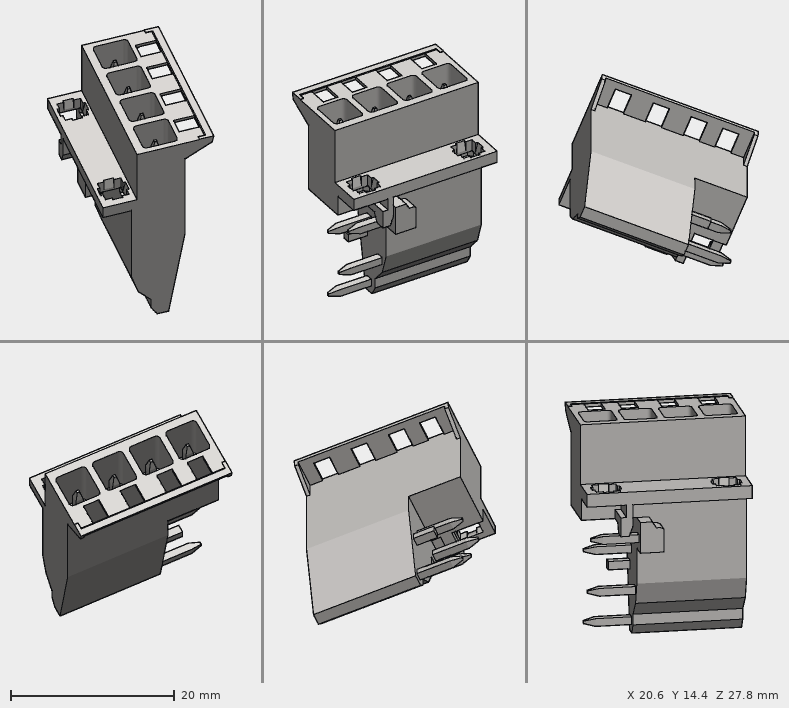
import cadquery as cq


WIDTH = 20.6
TOP_Z = 27.67
RIM_Z = 27.75
BODY_FRONT_Y = 4.4
BACK_Y = 10.63
LIP_BACK_Y = 14.37
LIP_BACK_Z = 27.72
LIP_EDGE_Y = 14.18
LIP_EDGE_Z = 26.78
LIP_ROOT_Z = 24.98
LIP_PLATE = 0.42
FLANGE_TOP_Z = 20.05
FLANGE_BOTTOM_Z = 18.43
LOWER_FRONT_Y = 3.72
BODY_BOTTOM_Z = 15.68

BLOCK_LEFT_X = 6.9
BACK_TAPER_Z = 12.32
TOE_BACK_Y = 8.52
TOE_FRONT_Y = 7.02
TOE_CHAMFER_Z = 1.28
STEP_Y = 6.25
STEP_Z = 2.65
KNEE_Y = 4.58
KNEE_Z = 4.5
FRONT_TAPER_Z = 7.22

CONTACT_COUNT = 4
CONTACT_PITCH = 5.0
CONTACT_Y = 7.77
FIRST_CONTACT_X = (WIDTH - (CONTACT_COUNT - 1) * CONTACT_PITCH) / 2
CONTACT_XS = [FIRST_CONTACT_X + i * CONTACT_PITCH for i in range(CONTACT_COUNT)]
CAVITY_X = 4.13
CAVITY_Y = 4.5
CAVITY_RADIUS = 0.5
CAVITY_FLOOR_Z = FLANGE_TOP_Z

RIM_SIDE_WIDTH = 0.5
RIM_FRONT_Y = 12.52
RIM_INNER_TOP_Y = 13.5
RIM_INNER_FOOT_Y = 13.32
WINDOW_WIDTH = 2.1
WINDOW_OFFSET = 0.42

HOLE_SIZE = 3.02
HOLE_Y = 2.3
NOTCH_WIDTH = 1.28
NOTCH_DEPTH = 0.3
NOTCH_HEIGHT = 1.3
RELIEF_WIDTH = 3.4
RELIEF_DEPTH = 0.55
RELIEF_FLOOR_Z = 17.62

HOOK_LEFT_X = 4.2
HOOK_NECK_X = 4.9
HOOK_RIGHT_X = 5.7
HOOK_TOE_X = 5.25
HOOK_SHELF_Z = 16.85
HOOK_CHAMFER_Z = 15.62
HOOK_BOTTOM_Z = 14.43
HOOK_HEEL_Y = 2.03
HOOK_TOE_Y = 1.42

BOSS_FRONT_Y = 1.47
BOSS_BOTTOM_Z = 11.77
BOSS_RIGHT_X = 9.85
BOSS_TOP_RIGHT_X = 8.44
BOSS_VALLEY_X = 8.9
BOSS_VALLEY_Z = 14.9
BOSS_ARC_START_X = 9.35
BOSS_ARC_MID_X = 9.63
BOSS_ARC_MID_Z = 14.82
BOSS_SHOULDER_Z = 14.68

PEG_SIZE = 1.08
PEG_Y = 8.63
PEG_Z = 8.44

PIN_SIZE = 1.0
PIN_TIP_SIZE = 0.33
PIN_TAPER = 1.45
CONTACT_TIP_Z = 26.45
TAIL_TIP_X = 1.0
TAIL_YZ = [(2.89, 13.38), (7.65, 10.7), (5.1, 6.13), (7.65, 1.55)]


def box(x0, x1, y0, y1, z0, z1):
    return cq.Workplane("XY").box(x1 - x0, y1 - y0, z1 - z0, centered=False).translate((x0, y0, z0))


def side_profile(points, x0, x1):
    """Extrude a (y, z) outline from x0 to x1."""
    return cq.Workplane("YZ", origin=(x0, 0, 0)).polyline(points).close().extrude(x1 - x0)


def make_upper_body():
    outline = [
        (BODY_FRONT_Y, TOP_Z),
        (BODY_FRONT_Y, FLANGE_TOP_Z),
        (0, FLANGE_TOP_Z),
        (0, FLANGE_BOTTOM_Z),
        (LOWER_FRONT_Y, FLANGE_BOTTOM_Z),
        (LOWER_FRONT_Y, BODY_BOTTOM_Z),
        (BACK_Y, BODY_BOTTOM_Z),
        (BACK_Y, LIP_ROOT_Z),
        (LIP_EDGE_Y, LIP_EDGE_Z),
        (LIP_BACK_Y, LIP_BACK_Z),
        (RIM_FRONT_Y, RIM_Z),
        (RIM_FRONT_Y, TOP_Z),
    ]
    return side_profile(outline, 0, WIDTH)


def make_rim_recess():
    """Sunk area between the two side strips of the rim, with a sloped back wall."""
    outline = [
        (RIM_FRONT_Y, TOP_Z),
        (RIM_INNER_FOOT_Y, TOP_Z),
        (RIM_INNER_TOP_Y, RIM_Z),
        (RIM_FRONT_Y, RIM_Z),
    ]
    return side_profile(outline, RIM_SIDE_WIDTH, WIDTH - RIM_SIDE_WIDTH)


def make_lip_hollow():
    """Space under the lip plate, between a thin gusset at each end."""
    return box(
        RIM_SIDE_WIDTH, WIDTH - RIM_SIDE_WIDTH, BACK_Y, LIP_BACK_Y, LIP_ROOT_Z, TOP_Z - LIP_PLATE
    )


def make_lower_block():
    outline = [
        (LOWER_FRONT_Y, BODY_BOTTOM_Z),
        (LOWER_FRONT_Y, FRONT_TAPER_Z),
        (KNEE_Y, KNEE_Z),
        (STEP_Y, STEP_Z),
        (STEP_Y, TOE_CHAMFER_Z),
        (TOE_FRONT_Y, 0),
        (TOE_BACK_Y, 0),
        (BACK_Y, BACK_TAPER_Z),
        (BACK_Y, BODY_BOTTOM_Z),
    ]
    return side_profile(outline, BLOCK_LEFT_X, WIDTH)


def make_hook():
    front_outline = [
        (HOOK_NECK_X, FLANGE_BOTTOM_Z),
        (HOOK_NECK_X, HOOK_SHELF_Z),
        (HOOK_LEFT_X, HOOK_SHELF_Z),
        (HOOK_LEFT_X, HOOK_BOTTOM_Z),
        (HOOK_TOE_X, HOOK_BOTTOM_Z),
        (HOOK_RIGHT_X, HOOK_CHAMFER_Z),
        (HOOK_RIGHT_X, FLANGE_BOTTOM_Z),
    ]
    side_outline = [
        (0, FLANGE_BOTTOM_Z),
        (0, HOOK_BOTTOM_Z),
        (HOOK_TOE_Y, HOOK_BOTTOM_Z),
        (HOOK_HEEL_Y, BODY_BOTTOM_Z),
        (LOWER_FRONT_Y, BODY_BOTTOM_Z),
        (LOWER_FRONT_Y, FLANGE_BOTTOM_Z),
    ]
    hook = cq.Workplane("XZ").polyline(front_outline).close().extrude(-LOWER_FRONT_Y)
    return hook.intersect(side_profile(side_outline, HOOK_LEFT_X, HOOK_RIGHT_X))


def make_boss():
    return (
        cq.Workplane("XZ", origin=(0, BOSS_FRONT_Y, 0))
        .moveTo(BLOCK_LEFT_X, BOSS_BOTTOM_Z)
        .lineTo(BLOCK_LEFT_X, BODY_BOTTOM_Z)
        .lineTo(BOSS_TOP_RIGHT_X, BODY_BOTTOM_Z)
        .lineTo(BOSS_VALLEY_X, BOSS_VALLEY_Z)
        .lineTo(BOSS_ARC_START_X, BOSS_VALLEY_Z)
        .threePointArc((BOSS_ARC_MID_X, BOSS_ARC_MID_Z), (BOSS_RIGHT_X, BOSS_SHOULDER_Z))
        .lineTo(BOSS_RIGHT_X, BOSS_BOTTOM_Z)
        .close()
        .extrude(BOSS_FRONT_Y - LOWER_FRONT_Y)
    )


def make_peg():
    half = PEG_SIZE / 2
    return box(HOOK_LEFT_X, BLOCK_LEFT_X, PEG_Y - half, PEG_Y + half, PEG_Z - half, PEG_Z + half)


def make_cavity(x):
    cavity = cq.Workplane("XY").box(CAVITY_X, CAVITY_Y, TOP_Z - CAVITY_FLOOR_Z, centered=(True, True, False))
    return cavity.edges("|Z").fillet(CAVITY_RADIUS).translate((x, CONTACT_Y, CAVITY_FLOOR_Z))


def make_window(contact_x):
    toward_middle = contact_x == CONTACT_XS[0]
    x = contact_x + (WINDOW_OFFSET if toward_middle else -WINDOW_OFFSET)
    half = WINDOW_WIDTH / 2
    return box(x - half, x + half, BACK_Y, RIM_INNER_FOOT_Y, TOP_Z - LIP_PLATE, TOP_Z)


def make_screw_hole(x):
    """Square flange hole with a wedge-shaped notch in the middle of each side."""
    half = HOLE_SIZE / 2
    hole = box(-half, half, -half, half, FLANGE_BOTTOM_Z, FLANGE_TOP_Z)
    wedge = side_profile(
        [
            (half, FLANGE_TOP_Z - NOTCH_HEIGHT),
            (half + NOTCH_DEPTH, FLANGE_TOP_Z),
            (0, FLANGE_TOP_Z),
            (0, FLANGE_TOP_Z - NOTCH_HEIGHT),
        ],
        -NOTCH_WIDTH / 2,
        NOTCH_WIDTH / 2,
    )
    for quarter in range(4):
        hole = hole.union(wedge.rotate((0, 0, 0), (0, 0, 1), 90 * quarter))
    return hole.translate((x, HOLE_Y, 0))


def make_screw_relief(x):
    """Recess with 45 degree ends in the front face, just below a screw hole."""
    half = RELIEF_WIDTH / 2
    outline = [
        (x - half, LOWER_FRONT_Y),
        (x + half, LOWER_FRONT_Y),
        (x + half - RELIEF_DEPTH, LOWER_FRONT_Y + RELIEF_DEPTH),
        (x - half + RELIEF_DEPTH, LOWER_FRONT_Y + RELIEF_DEPTH),
    ]
    relief = cq.Workplane("XY", origin=(0, 0, RELIEF_FLOOR_Z)).polyline(outline).close()
    return relief.extrude(FLANGE_BOTTOM_Z - RELIEF_FLOOR_Z)


def make_housing():
    housing = make_upper_body().cut(make_rim_recess()).cut(make_lip_hollow())
    for addition in (make_lower_block(), make_hook(), make_boss(), make_peg()):
        housing = housing.union(addition)
    for x in CONTACT_XS:
        housing = housing.cut(make_cavity(x)).cut(make_window(x))
    for x in (CONTACT_XS[0], CONTACT_XS[-1]):
        housing = housing.cut(make_screw_hole(x)).cut(make_screw_relief(x))
    return housing


def make_pin(length):
    """Square pin standing on the origin along +Z, with a pyramid tip."""
    shank = cq.Workplane("XY").rect(PIN_SIZE, PIN_SIZE).extrude(length - PIN_TAPER)
    tip = (
        cq.Workplane("XY", origin=(0, 0, length - PIN_TAPER))
        .rect(PIN_SIZE, PIN_SIZE)
        .workplane(offset=PIN_TAPER)
        .rect(PIN_TIP_SIZE, PIN_TIP_SIZE)
        .loft(ruled=True)
    )
    return shank.union(tip)


def make_contact_pin(x):
    """Pin standing on the floor of a cavity."""
    return make_pin(CONTACT_TIP_Z - CAVITY_FLOOR_Z).translate((x, CONTACT_Y, CAVITY_FLOOR_Z))


def make_tail_pin(y, z):
    """Pin pointing to -X from the left face of the lower block."""
    pin = make_pin(BLOCK_LEFT_X - TAIL_TIP_X).rotate((0, 0, 0), (0, 1, 0), -90)
    return pin.translate((BLOCK_LEFT_X, y, z))


housing = make_housing()
contact_pins = [make_contact_pin(x).val() for x in CONTACT_XS]
tail_pins = [make_tail_pin(y, z).val() for y, z in TAIL_YZ]

result = cq.Compound.makeCompound([housing.val(), *contact_pins, *tail_pins])